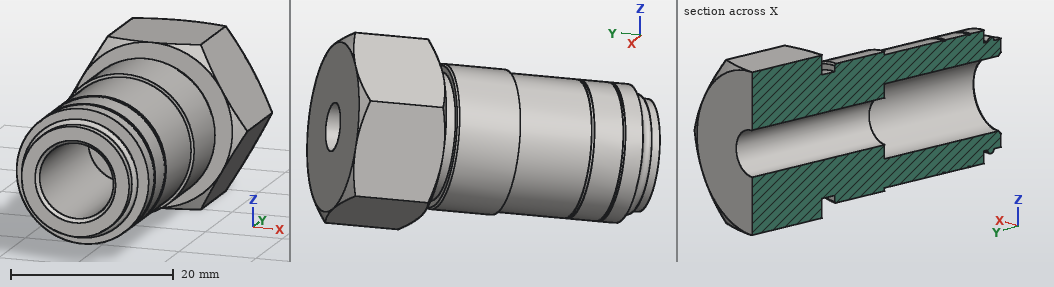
import cadquery as cq
import math

total_length = 40.0
hex_across_flats = 21.0
hex_length = 11.3
hex_chamfer_angle = 30.0

neck_radius = 8.0
collar_radius = 9.0
body_radius = 8.6
spigot_radius = 7.0

neck_length = 1.95
collar_length = 8.1
collar_chamfer = 0.25
spigot_length = 2.7

grooves = [(4.95, 0.3), (8.95, 0.35)]
groove_depth = 0.1

ring_position = 1.65
ring_half_width = 0.55
ring_height = 0.5

through_radius = 3.0
bore_radius = 4.8
bore_chamfer = 0.45

hex_front = total_length - hex_length
collar_back = hex_front - neck_length
collar_front = collar_back - collar_length
bore_depth = collar_front


def cylinder(radius, start, end):
    """Solid cylinder along +Y between two positions."""
    return cq.Workplane("XZ", origin=(0, start, 0)).circle(radius).extrude(start - end)


def revolve(profile):
    """Turn a closed (radius, y) profile about the Y axis."""
    return profile.close().revolve(360, (0, 0, 0), (0, 1, 0))


def hex_head():
    """Hexagon with flats facing +Z and -Z, corners turned conically at both ends."""
    inner = hex_across_flats / 2
    corner = inner / math.cos(math.radians(30))
    setback = (corner - inner) * math.tan(math.radians(hex_chamfer_angle))
    prism = (
        cq.Workplane("XZ", origin=(0, hex_front, 0))
        .polygon(6, 2 * corner)
        .extrude(-hex_length)
    )
    envelope = revolve(
        cq.Workplane("XY")
        .moveTo(0, hex_front)
        .lineTo(inner, hex_front)
        .lineTo(corner, hex_front + setback)
        .lineTo(corner, total_length - setback)
        .lineTo(inner, total_length)
        .lineTo(0, total_length)
    )
    return prism.intersect(envelope)


def collar():
    """Wide collar, chamfered on its head side."""
    return cylinder(collar_radius, collar_front, collar_back).faces(">Y").chamfer(collar_chamfer)


def sealing_ring():
    """Rounded bead around the spigot, with its foot on the spigot surface."""
    return revolve(
        cq.Workplane("XY")
        .moveTo(0, ring_position - ring_half_width)
        .lineTo(spigot_radius, ring_position - ring_half_width)
        .threePointArc(
            (spigot_radius + ring_height, ring_position),
            (spigot_radius, ring_position + ring_half_width),
        )
        .lineTo(0, ring_position + ring_half_width)
    )


def grooved_body():
    """Straight barrel with shallow grooves around it."""
    body = cylinder(body_radius, spigot_length, collar_front)
    for start, width in grooves:
        sleeve = cylinder(body_radius, start, start + width)
        core = cylinder(body_radius - groove_depth, start, start + width)
        body = body.cut(sleeve.cut(core))
    return body


def stepped_bore():
    """Blind front bore with a chamfered mouth, continued by a narrower through hole."""
    mouth_radius = bore_radius + bore_chamfer
    return revolve(
        cq.Workplane("XY")
        .lineTo(mouth_radius, 0)
        .lineTo(bore_radius, bore_chamfer)
        .lineTo(bore_radius, bore_depth)
        .lineTo(through_radius, bore_depth)
        .lineTo(through_radius, total_length)
        .lineTo(0, total_length)
    )


spigot = cylinder(spigot_radius, 0, spigot_length)
neck = cylinder(neck_radius, collar_back, hex_front)

result = (
    hex_head()
    .union(neck)
    .union(collar())
    .union(grooved_body())
    .union(spigot)
    .union(sealing_ring())
    .cut(stepped_bore())
)